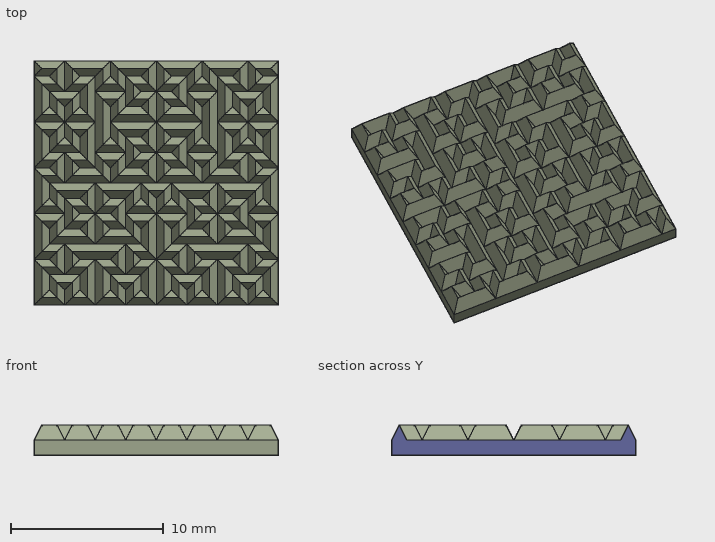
import cadquery as cq

side = 16.0
total_height = 2.0
slab_height = total_height / 2
curve_order = 4

cells_per_side = 2 ** curve_order
cell = side / cells_per_side


def hilbert_cells(order, corner, across, along):
    """Cells of a Hilbert curve from `corner` to the far end of `across`.

    `across` and `along` are the (column, row) unit steps of the square:
    the curve ends at the two corners joined by `across`.
    """
    if order == 0:
        return [corner]
    half = 2 ** (order - 1)

    def shifted(across_steps, along_steps):
        return tuple(
            c + across_steps * a + along_steps * b
            for c, a, b in zip(corner, across, along)
        )

    against_across = tuple(-a for a in across)
    against_along = tuple(-b for b in along)
    last = 2 * half - 1
    return (
        hilbert_cells(order - 1, corner, along, across)
        + hilbert_cells(order - 1, shifted(0, half), across, along)
        + hilbert_cells(order - 1, shifted(half, half), across, along)
        + hilbert_cells(order - 1, shifted(last, half - 1), against_along, against_across)
    )


def straight_runs(cells):
    """Pairs of end cells of the longest straight stretches of a path."""
    runs = []
    start = cells[0]
    for before, here, after in zip(cells, cells[1:], cells[2:]):
        turns = before[0] != after[0] and before[1] != after[1]
        if turns:
            runs.append((start, here))
            start = here
    runs.append((start, cells[-1]))
    return runs


def hip_roof(first, last):
    """Ridge over one straight run, sloping down to the cell edges all round."""
    left, right = sorted((first[0] * cell, last[0] * cell))
    front, rear = sorted((first[1] * cell, last[1] * cell))
    half_cell = cell / 2
    eaves = [
        cq.Vector(left, front, slab_height),
        cq.Vector(right + cell, front, slab_height),
        cq.Vector(right + cell, rear + cell, slab_height),
        cq.Vector(left, rear + cell, slab_height),
    ]
    ridge_start = cq.Vector(left + half_cell, front + half_cell, total_height)
    ridge_end = cq.Vector(right + half_cell, rear + half_cell, total_height)
    if right > left:
        tops = [ridge_start, ridge_end, ridge_end, ridge_start]
    else:
        tops = [ridge_start, ridge_start, ridge_end, ridge_end]

    outlines = [eaves]
    for i in range(len(eaves)):
        j = (i + 1) % len(eaves)
        outline = [eaves[i], eaves[j], tops[j]]
        if tops[i] != tops[j]:
            outline.append(tops[i])
        outlines.append(outline)
    wires = [cq.Wire.makePolygon(outline, close=True) for outline in outlines]
    faces = [cq.Face.makeFromWires(wire) for wire in wires]
    return cq.Solid.makeSolid(cq.Shell.makeShell(faces))


slab = cq.Workplane("XY").box(side, side, slab_height, centered=False)

rear_left = (0, cells_per_side - 1)
ridge_cells = hilbert_cells(curve_order, rear_left, across=(1, 0), along=(0, -1))
roofs = [hip_roof(first, last) for first, last in straight_runs(ridge_cells)]

body = slab.val().fuse(*roofs).clean()
result = cq.Workplane(body).solids()